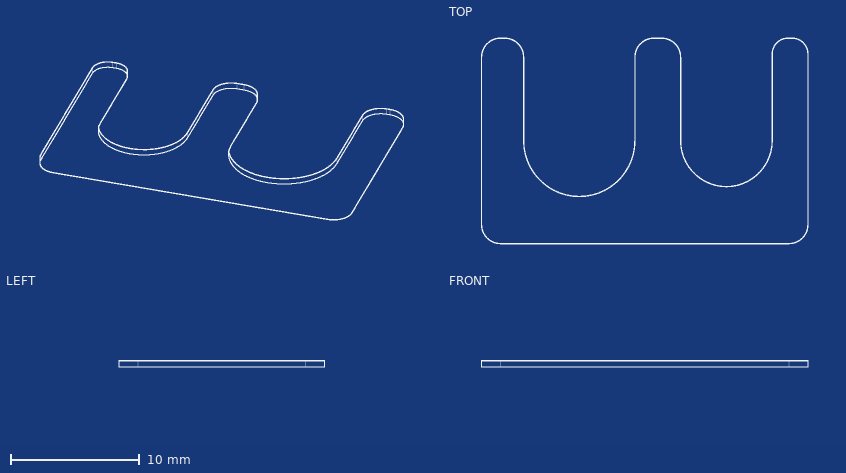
import cadquery as cq

plate_length = 25.4
plate_width = 16.0
plate_thickness = 0.5
corner_radius = 1.5

slot_end_y = plate_width / 2
large_slot_width = 8.63
large_slot_x = 7.61
small_slot_width = 7.1
small_slot_x = 19.05

narrow_tip_radius = 1.25

large_slot_sides = (large_slot_x - large_slot_width / 2, large_slot_x + large_slot_width / 2)
small_slot_sides = (small_slot_x - small_slot_width / 2, small_slot_x + small_slot_width / 2)


def make_plate():
    """Flat plate with its lower corner on the origin."""
    return cq.Workplane("XY").box(plate_length, plate_width, plate_thickness, centered=False)


def make_slot(center_x, width):
    """Slot cutter with a round inner end, open through the +Y edge."""
    radius = width / 2
    return (
        cq.Workplane("XY")
        .moveTo(center_x - radius, plate_width)
        .lineTo(center_x - radius, slot_end_y)
        .threePointArc((center_x, slot_end_y - radius), (center_x + radius, slot_end_y))
        .lineTo(center_x + radius, plate_width)
        .close()
        .extrude(plate_thickness)
    )


def round_corners(body, corners, radius):
    """Round the vertical edges that stand at the given (x, y) corners."""
    for x, y in corners:
        edge = cq.selectors.NearestToPointSelector((x, y, plate_thickness / 2))
        body = body.edges("|Z").edges(edge).fillet(radius)
    return body


base_corners = [(0, 0), (plate_length, 0)]
wide_tip_corners = [(x, plate_width) for x in (0, *large_slot_sides, small_slot_sides[0])]
narrow_tip_corners = [(x, plate_width) for x in (small_slot_sides[1], plate_length)]

result = make_plate()
result = result.cut(make_slot(large_slot_x, large_slot_width))
result = result.cut(make_slot(small_slot_x, small_slot_width))
result = round_corners(result, base_corners + wide_tip_corners, corner_radius)
result = round_corners(result, narrow_tip_corners, narrow_tip_radius)